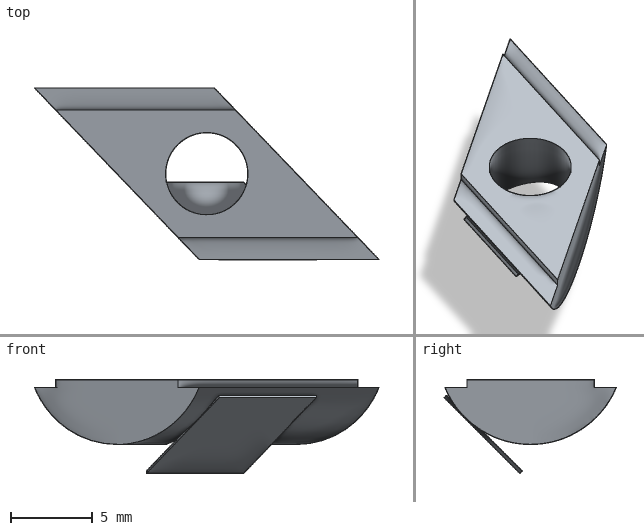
import cadquery as cq
import math

overall_length = 21.07
body_width = 10.5
end_run = 10.07
body_depth = 3.96
step_depth = 0.46
ridge_width = 7.8
hole_diameter = 5.01

plate_front_y = -5.29
plate_bottom_z = -5.73
plate_length = 5.95
plate_top_left_x = 0.75
plate_height = 6.55
plate_thickness = 0.21
plate_tilt = math.radians(45)

half_length = overall_length / 2
half_width = body_width / 2
end_slope = end_run / body_width


def make_body():
    """Segment profile along X, trimmed to slanted ends and pierced by the hole."""
    half_ridge = ridge_width / 2
    bar = (
        cq.Workplane("YZ", origin=(-half_length, 0, 0))
        .moveTo(-half_ridge, 0)
        .lineTo(-half_ridge, -step_depth)
        .lineTo(-half_width, -step_depth)
        .threePointArc((0, -body_depth), (half_width, -step_depth))
        .lineTo(half_ridge, -step_depth)
        .lineTo(half_ridge, 0)
        .close()
        .extrude(overall_length)
    )
    footprint = (
        cq.Workplane("XY")
        .polyline([
            (-half_length, half_width),
            (half_length - end_run, half_width),
            (half_length, -half_width),
            (-half_length + end_run, -half_width),
        ])
        .close()
        .extrude(-body_depth)
    )
    hole = cq.Workplane("XY").circle(hole_diameter / 2).extrude(-body_depth)
    return bar.intersect(footprint).cut(hole)


def make_plate():
    """Parallelogram in the tilted plane, thickened inward from its outer face."""
    rise = plate_height * math.sin(plate_tilt)
    run = plate_height * math.cos(plate_tilt)
    skew = run * end_slope
    outer_face = cq.Plane(
        origin=(plate_top_left_x, plate_front_y, plate_bottom_z + rise),
        xDir=(1, 0, 0),
        normal=(0, -math.sin(plate_tilt), -math.cos(plate_tilt)),
    )
    return (
        cq.Workplane(outer_face)
        .polyline([
            (0, 0),
            (plate_length, 0),
            (plate_length - skew, -plate_height),
            (-skew, -plate_height),
        ])
        .close()
        .extrude(-plate_thickness)
    )


result = make_body().union(make_plate())